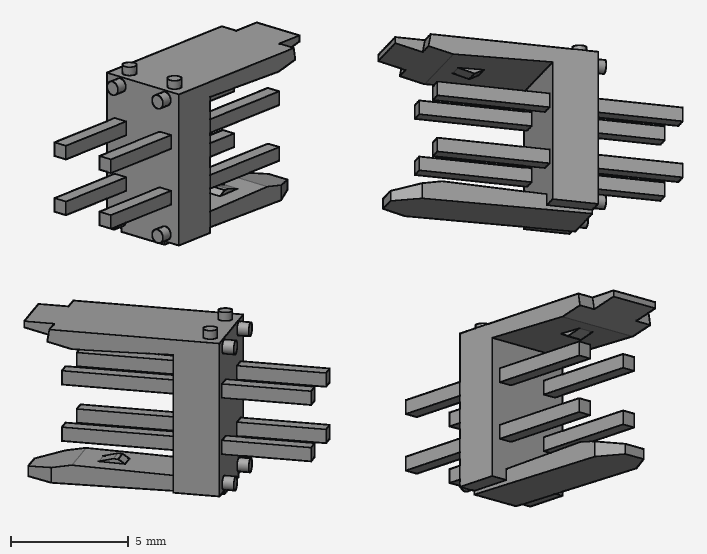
import cadquery as cq


body_width = 4.07
overall_length = 12.77
overall_height = 7.59

block_depth = 2.04
block_height = 6.9

pitch = 2.54
pin_width = 0.65
pin_height = 0.63
pin_front_y = 7.07
arm_tip_y = 8.84
pin_rear_y = arm_tip_y - overall_length
upper_pin_z = -2.27
pin_rows_z = (upper_pin_z, upper_pin_z - pitch)

peg_radius = 0.31
top_peg_height = 0.38
top_peg_y = 0.6
rear_peg_length = 0.51
rear_peg_inset = 0.38
rear_peg_rows_z = (-rear_peg_inset, rear_peg_inset - block_height)

tongue_width = 2.43
lower_tip_z = top_peg_height - overall_height
upper_tip_thickness = 0.28
upper_knee = (6.51, -0.8)
upper_root_z = -0.69
shoulder_top_y = 7.51
shoulder_lower_y = 7.61
lower_tip_thickness = 0.46
lower_knee = (6.74, -6.31)
lower_root_z = -6.4
lower_rear_z = -7.06
tip_bevel_length = 1.2
tip_bevel_width = 0.68

bump_width = 0.77
bump_front_y = 5.77
bump_rear_y = 4.6
bump_embed = 0.25
upper_bump_peak = (5.02, -0.97)
lower_bump_crest_z = -6.15
lower_bump_crest_front_y = 5.13
lower_bump_crest_rear_y = 4.9


def extrude_profile(points, width):
    """Extrude a Y-Z outline symmetrically about the middle plane."""
    return cq.Workplane("YZ").polyline(points).close().extrude(width / 2, both=True)


def z_on_line(start, end, y):
    """Height at y on the straight line between two Y-Z points."""
    return start[1] + (end[1] - start[1]) * (y - start[0]) / (end[0] - start[0])


def make_block():
    return cq.Workplane("XY").box(
        body_width, block_depth, block_height, centered=(True, False, False)
    ).translate((0, 0, -block_height))


def make_upper_arm():
    tip_lower = (arm_tip_y, -upper_tip_thickness)
    shoulder_z = z_on_line(upper_knee, tip_lower, shoulder_lower_y)
    root = [(0, 0), (0, upper_root_z), (block_depth, upper_root_z), upper_knee]
    wide_part = extrude_profile(
        root + [(shoulder_lower_y, shoulder_z), (shoulder_top_y, 0)], body_width
    )
    tongue = extrude_profile(root + [tip_lower, (arm_tip_y, 0)], tongue_width)
    peak_y, peak_z = upper_bump_peak
    bump = extrude_profile(
        [
            (bump_front_y, upper_knee[1] + bump_embed),
            (bump_front_y, z_on_line((block_depth, upper_root_z), upper_knee, bump_front_y)),
            (peak_y, peak_z),
            (bump_rear_y, z_on_line((block_depth, upper_root_z), upper_knee, bump_rear_y)),
            (bump_rear_y, upper_knee[1] + bump_embed),
        ],
        bump_width,
    )
    return wide_part.union(tongue).union(bump)


def make_lower_arm():
    arm = extrude_profile(
        [
            (0, lower_rear_z),
            (arm_tip_y, lower_tip_z),
            (arm_tip_y, lower_tip_z + lower_tip_thickness),
            lower_knee,
            (block_depth, lower_root_z),
            (0, lower_root_z),
        ],
        tongue_width,
    )
    half_width = tongue_width / 2
    for side in (-1, 1):
        wedge = (
            cq.Workplane("XY")
            .workplane(offset=lower_tip_z)
            .moveTo(side * half_width, arm_tip_y - tip_bevel_length)
            .lineTo(side * half_width, arm_tip_y)
            .lineTo(side * (half_width - tip_bevel_width), arm_tip_y)
            .close()
            .extrude(-lower_tip_z)
        )
        arm = arm.cut(wedge)
    bump = extrude_profile(
        [
            (bump_front_y, lower_knee[1] - bump_embed),
            (bump_front_y, z_on_line((block_depth, lower_root_z), lower_knee, bump_front_y)),
            (lower_bump_crest_front_y, lower_bump_crest_z),
            (lower_bump_crest_rear_y, lower_bump_crest_z),
            (bump_rear_y, z_on_line((block_depth, lower_root_z), lower_knee, bump_rear_y)),
            (bump_rear_y, lower_knee[1] - bump_embed),
        ],
        bump_width,
    )
    return arm.union(bump)


def make_pins():
    points = [(x, z) for x in (-pitch / 2, pitch / 2) for z in pin_rows_z]
    return (
        cq.Workplane("XZ", origin=(0, pin_front_y, 0))
        .pushPoints(points)
        .rect(pin_width, pin_height)
        .extrude(pin_front_y - pin_rear_y)
    )


def make_pegs():
    columns_x = (-pitch / 2, pitch / 2)
    top_pegs = (
        cq.Workplane("XY")
        .pushPoints([(x, top_peg_y) for x in columns_x])
        .circle(peg_radius)
        .extrude(top_peg_height)
    )
    rear_pegs = (
        cq.Workplane("XZ")
        .pushPoints([(x, z) for x in columns_x for z in rear_peg_rows_z])
        .circle(peg_radius)
        .extrude(rear_peg_length)
    )
    return top_pegs.union(rear_pegs)


result = make_block()
for feature in (make_upper_arm(), make_lower_arm(), make_pins(), make_pegs()):
    result = result.union(feature)